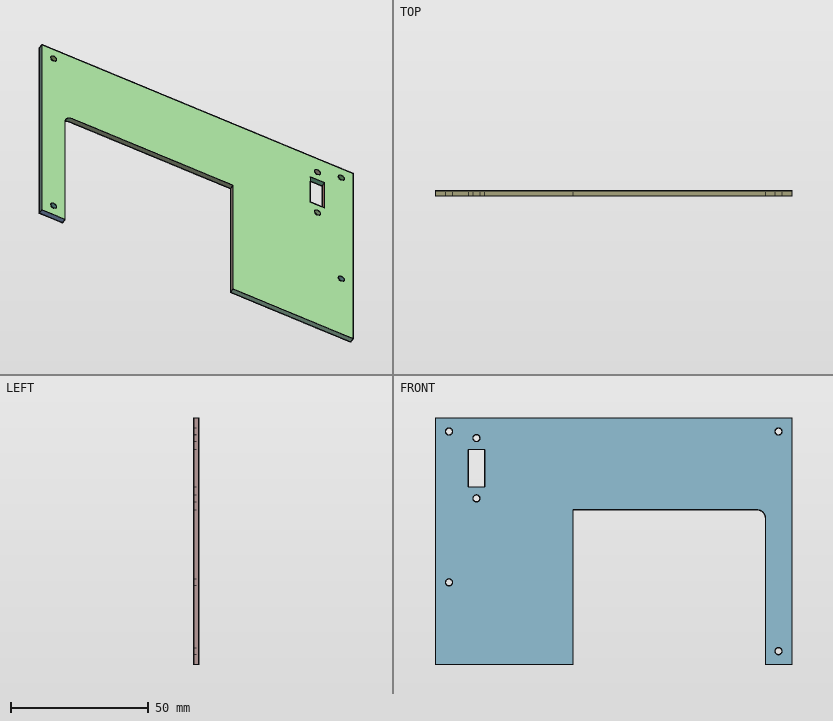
import cadquery as cq

length = 130.0
height = 90.0
thickness = 2.0

notch_left = 50.2
right_leg_width = 9.8
notch_height = 56.4
notch_radius = 3.0
notch_right = length - right_leg_width

hole_diameter = 2.5
edge_distance = 5.0
lower_left_hole_height = 30.0

window_width = 6.0
window_height = 13.6
window_x = 15.0
window_z = 71.6
screw_spacing = 22.0


def plate():
    """Plate outline with the notch, extruded toward +Y."""
    return (
        cq.Workplane("XZ")
        .lineTo(0, height)
        .lineTo(length, height)
        .lineTo(length, 0)
        .lineTo(notch_right, 0)
        .lineTo(notch_right, notch_height - notch_radius)
        .radiusArc((notch_right - notch_radius, notch_height), -notch_radius)
        .lineTo(notch_left, notch_height)
        .lineTo(notch_left, 0)
        .close()
        .extrude(-thickness)
    )


def holes():
    """Cylinders for the mounting holes and the connector screws."""
    right_x = length - edge_distance
    top_z = height - edge_distance
    centers = [
        (edge_distance, top_z),
        (right_x, top_z),
        (edge_distance, lower_left_hole_height),
        (right_x, edge_distance),
        (window_x, window_z + screw_spacing / 2),
        (window_x, window_z - screw_spacing / 2),
    ]
    return cq.Workplane("XZ").pushPoints(centers).circle(hole_diameter / 2).extrude(-thickness)


def window():
    """Block for the connector window."""
    return (
        cq.Workplane("XZ")
        .center(window_x, window_z)
        .rect(window_width, window_height)
        .extrude(-thickness)
    )


result = plate().cut(holes()).cut(window())